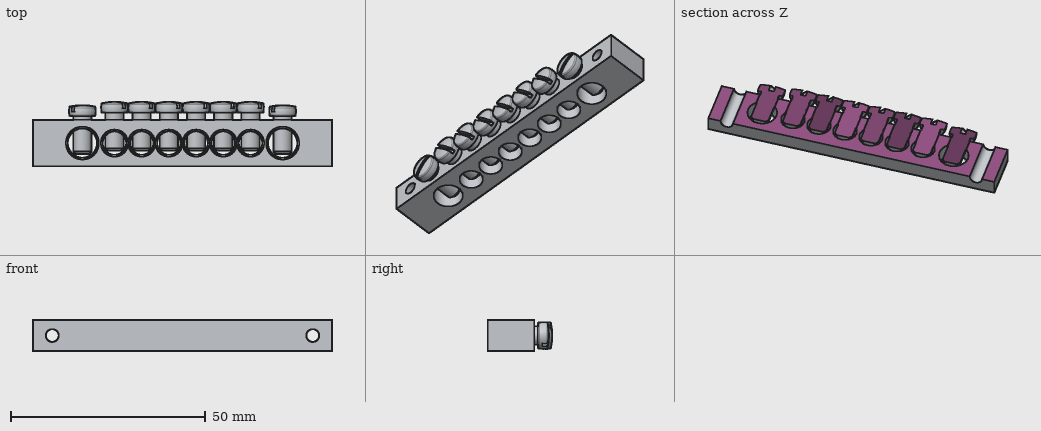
import cadquery as cq

BAR_LENGTH = 77.0
BAR_DEPTH = 12.0
BAR_HEIGHT = 8.0
MOUNT_HOLE_DIAMETER = 3.24
MOUNT_HOLE_INSET = 5.0

SMALL_WIRE_DIAMETER = 6.0
LARGE_WIRE_DIAMETER = 7.5
WIRE_CHAMFER = 0.5
SMALL_WIRE_COUNT = 6
SMALL_WIRE_PITCH = 7.0
LARGE_WIRE_X = 25.75

SHANK_DIAMETER = 4.8
SCREW_LENGTH = 12.65
TIP_DIAMETER = 3.4
TIP_LENGTH = 0.7
HEAD_DIAMETER = 6.95
HEAD_RIM_DIAMETER = 6.75
HEAD_SIDE_HEIGHT = 2.5
HEAD_EDGE_RADIUS = 0.3
CROWN_HEIGHT = 0.35
SLOT_WIDTH = 0.9
SLOT_DEPTH = 1.7
SLOT_ANGLE = 45.0

SMALL_SCREW_RISE = 4.66
LARGE_SCREW_RISE = 3.8

BAR_BACK = BAR_DEPTH / 2
small_wire_xs = [(i - (SMALL_WIRE_COUNT - 1) / 2) * SMALL_WIRE_PITCH for i in range(SMALL_WIRE_COUNT)]
large_wire_xs = [-LARGE_WIRE_X, LARGE_WIRE_X]
mount_hole_x = BAR_LENGTH / 2 - MOUNT_HOLE_INSET


def y_cylinder(diameter, length, x, y_start):
    """A cylinder at mid height that runs from y_start towards +Y."""
    return cq.Workplane("XZ", origin=(x, y_start, 0)).circle(diameter / 2).extrude(-length)


def wire_hole(diameter, x):
    """The cutter of a wire hole with a chamfered top mouth."""
    radius = diameter / 2
    top = BAR_HEIGHT / 2
    profile = (
        cq.Workplane("XZ")
        .moveTo(0, -top)
        .lineTo(radius, -top)
        .lineTo(radius, top - WIRE_CHAMFER)
        .lineTo(radius + WIRE_CHAMFER, top)
        .lineTo(0, top)
        .close()
    )
    return profile.revolve(360, (0, 0, 0), (0, 1, 0)).translate((x, 0, 0))


def make_bar():
    """The bar with its wire holes, screw holes and two mounting holes."""
    bar = cq.Workplane("XY").box(BAR_LENGTH, BAR_DEPTH, BAR_HEIGHT)
    for x in (-mount_hole_x, mount_hole_x):
        bar = bar.cut(y_cylinder(MOUNT_HOLE_DIAMETER, BAR_DEPTH, x, -BAR_BACK))
    for x in small_wire_xs:
        bar = bar.cut(wire_hole(SMALL_WIRE_DIAMETER, x))
    for x in large_wire_xs:
        bar = bar.cut(wire_hole(LARGE_WIRE_DIAMETER, x))
    for x in small_wire_xs + large_wire_xs:
        bar = bar.cut(y_cylinder(SHANK_DIAMETER, BAR_BACK, x, 0))
    return bar


def make_screw(x, rise, slot_angle):
    """A slotted screw pointing towards -Y; its dome top lies `rise` beyond the bar's +Y face."""
    rim_top = SCREW_LENGTH - CROWN_HEIGHT
    rim_bottom = rim_top - HEAD_SIDE_HEIGHT
    rim_middle = (rim_top + rim_bottom) / 2
    rim_radius = HEAD_RIM_DIAMETER / 2
    edge_centre = rim_radius - HEAD_EDGE_RADIUS
    crown_radius = (edge_centre**2 + CROWN_HEIGHT**2) / (2 * CROWN_HEIGHT)
    profile = (
        cq.Workplane("XY")
        .moveTo(0, 0)
        .lineTo(TIP_DIAMETER / 2, 0)
        .lineTo(SHANK_DIAMETER / 2, TIP_LENGTH)
        .lineTo(SHANK_DIAMETER / 2, rim_bottom)
        .lineTo(edge_centre, rim_bottom)
        .radiusArc((rim_radius, rim_bottom + HEAD_EDGE_RADIUS), -HEAD_EDGE_RADIUS)
        .threePointArc((HEAD_DIAMETER / 2, rim_middle), (rim_radius, rim_top - HEAD_EDGE_RADIUS))
        .radiusArc((edge_centre, rim_top), -HEAD_EDGE_RADIUS)
        .radiusArc((0, SCREW_LENGTH), -crown_radius)
        .close()
    )
    screw = profile.revolve(360, (0, 0, 0), (0, 1, 0))
    slot = (
        cq.Workplane("XY")
        .box(HEAD_DIAMETER, SLOT_DEPTH, SLOT_WIDTH)
        .translate((0, SCREW_LENGTH - SLOT_DEPTH / 2, 0))
    )
    turned_screw = screw.cut(slot).rotate((0, 0, 0), (0, 1, 0), slot_angle)
    return turned_screw.translate((x, BAR_BACK + rise - SCREW_LENGTH, 0))


bar = make_bar()
small_screws = [make_screw(x, SMALL_SCREW_RISE, -SLOT_ANGLE) for x in small_wire_xs]
large_screws = [make_screw(x, LARGE_SCREW_RISE, SLOT_ANGLE) for x in large_wire_xs]

result = cq.Compound.makeCompound([bar.val()] + [screw.val() for screw in small_screws + large_screws])